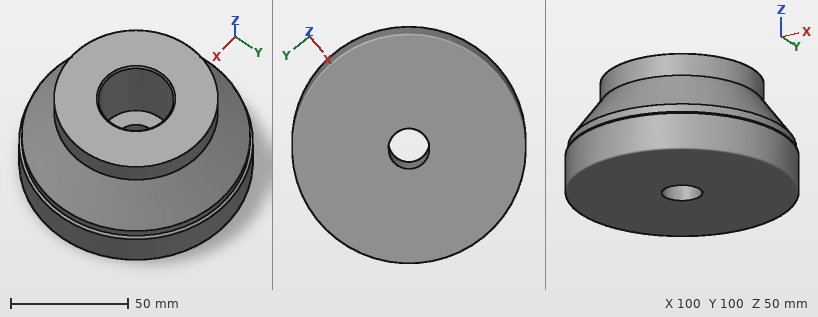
import cadquery as cq
import math

base_diameter = 100.0
base_height = 16.5
base_edge_radius = 0.8
through_hole_diameter = 17.5

total_height = 50.0
lip_radius = 1.0
rim_diameter = 97.6
rim_height = 3.7
neck_diameter = 70.0
neck_height = 10.0
bore_diameter = 32.0
bore_chamfer = 0.8

lip_top = base_height + lip_radius
rim_top = lip_top + rim_height
neck_bottom = total_height - neck_height


def make_base():
    """Disc with a rounded bottom edge and a central through hole."""
    disc = cq.Workplane("XY").circle(base_diameter / 2).extrude(base_height)
    rounded_disc = disc.faces("<Z").edges().fillet(base_edge_radius)
    return rounded_disc.faces(">Z").workplane().hole(through_hole_diameter)


def make_hub():
    """Turned hub: rounded lip, rim, conical flank, neck, and a chamfered bore open down to the base."""
    bore_radius = bore_diameter / 2
    lip_outer_radius = base_diameter / 2
    lip_center_radius = lip_outer_radius - lip_radius
    lip_diagonal = lip_radius * math.sqrt(0.5)
    section = (
        cq.Workplane("XZ")
        .moveTo(bore_radius, base_height)
        .lineTo(lip_outer_radius, base_height)
        .threePointArc(
            (lip_center_radius + lip_diagonal, base_height + lip_diagonal),
            (lip_center_radius, lip_top),
        )
        .lineTo(rim_diameter / 2, lip_top)
        .lineTo(rim_diameter / 2, rim_top)
        .lineTo(neck_diameter / 2, neck_bottom)
        .lineTo(neck_diameter / 2, total_height)
        .lineTo(bore_radius + bore_chamfer, total_height)
        .lineTo(bore_radius, total_height - bore_chamfer)
        .close()
    )
    return section.revolve(360, (0, 0, 0), (0, 1, 0))


base = make_base()
hub = make_hub()
result = cq.Compound.makeCompound([base.val(), hub.val()])